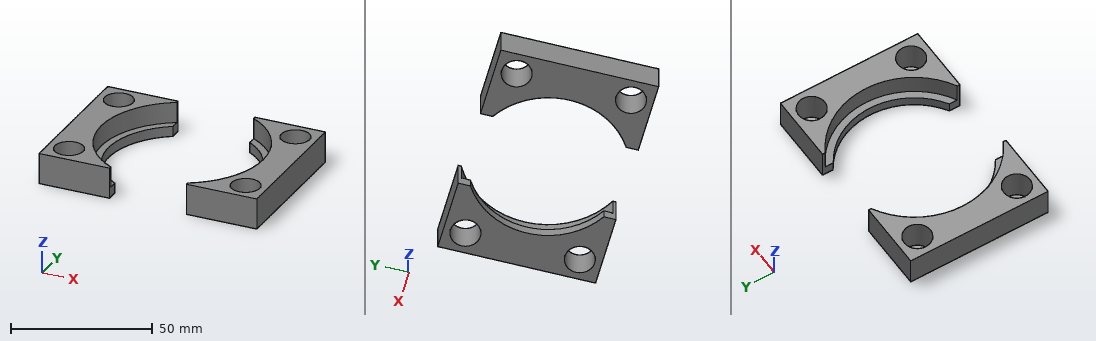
import cadquery as cq

length = 85.0
depth = 58.0
height = 12.0

gap = 30.0
half_width = (length - gap) / 2

seat_radius = 31.6
lip_radius = 28.7
lip_thickness = 4.0

hole_diameter = 11.0
hole_spacing_x = 68.9
hole_spacing_y = 42.0


def clamp_half(side):
    """Build one half; side is -1 for the -X half and +1 for the +X half."""
    block_center_x = side * (gap + half_width) / 2
    block = (
        cq.Workplane("XY")
        .center(block_center_x, 0)
        .rect(half_width, depth)
        .extrude(height)
    )

    bore = cq.Workplane("XY").circle(lip_radius).extrude(height)
    seat = (
        cq.Workplane("XY")
        .workplane(offset=lip_thickness)
        .circle(seat_radius)
        .extrude(height - lip_thickness)
    )

    hole_x = side * hole_spacing_x / 2
    hole_y = hole_spacing_y / 2
    bolt_holes = (
        cq.Workplane("XY")
        .pushPoints([(hole_x, -hole_y), (hole_x, hole_y)])
        .circle(hole_diameter / 2)
        .extrude(height)
    )

    return block.cut(bore).cut(seat).cut(bolt_holes)


clamp_halves = [clamp_half(side).val() for side in (-1, 1)]

result = cq.Compound.makeCompound(clamp_halves)